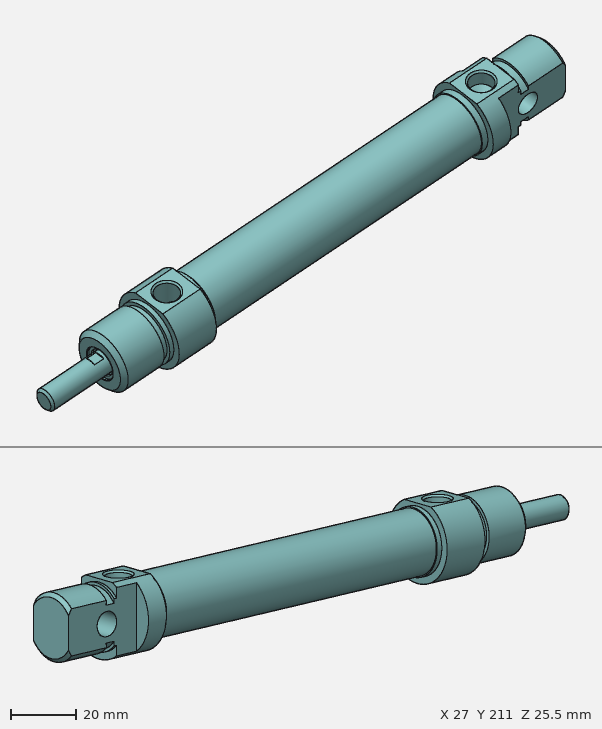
import cadquery as cq

total_length = 211.0

collar_diameter = 27.0
port_flat_height = 12.0
shoulder_diameter = 22.2
port_diameter = 8.5
port_mouth_diameter = 9.7
nose_diameter = 22.0
drill_tip_depth = 2.5

rod_diameter = 8.0
rod_radius = rod_diameter / 2
rod_tip_chamfer = 0.8
rod_across_flats = 7.2
rod_flat_start = 19.6

nose_front = 23.5
nose_back = 40.0
neck_back = 42.5
front_collar_start = 44.0
front_collar_end = 59.7
barrel_start = 61.6
nose_chamfer = 1.7
front_neck_diameter = 19.6
wiper_seat_diameter = 11.5
wiper_seat_mouth_diameter = 12.0
wiper_seat_depth = 0.8
rod_clearance_diameter = 9.5
rod_clearance_depth = 1.7
front_port_station = 51.5

barrel_end = 173.2
rear_collar_start = 175.5
rear_collar_end = 191.2
lip_end = 192.2
rear_neck_end = 195.4
rear_neck_diameter = 20.0
rear_chamfer = 1.3
eye_width = 16.0
eye_shoulder = 183.0
pivot_hole_diameter = 8.0
pivot_hole_station = 195.2
rear_port_station = 183.1
rear_port_depth = 5.5

barrel_diameter = 21.3


def cylinder_y(diameter, start, end):
    """Cylinder on the main axis between two stations."""
    return cq.Workplane("XZ", origin=(0, start, 0)).circle(diameter / 2).extrude(start - end)


def cone_y(start_diameter, end_diameter, start, end):
    """Truncated cone on the main axis between two stations."""
    profile = [(0, start), (start_diameter / 2, start), (end_diameter / 2, end), (0, end)]
    return cq.Workplane("XY").polyline(profile).close().revolve(360, (0, 0, 0), (0, 1, 0))


def box_between(x_range, y_range, z_range):
    """Box given by its lower and upper limits on each axis."""
    limits = (x_range, y_range, z_range)
    sizes = [high - low for low, high in limits]
    corner = tuple(low for low, high in limits)
    return cq.Workplane("XY").box(*sizes, centered=False).translate(corner)


def collar(start, end):
    """Round collar with a flat on top for the port."""
    radius = collar_diameter / 2
    top = box_between((-radius, radius), (start, end), (port_flat_height, radius))
    return cylinder_y(collar_diameter, start, end).cut(top)


def port_cutter(station, floor_height):
    """Vertical port hole with a chamfered mouth on the collar flat."""
    bore = (
        cq.Workplane("XY", origin=(0, station, floor_height))
        .circle(port_diameter / 2)
        .extrude(port_flat_height - floor_height)
    )
    mouth_depth = (port_mouth_diameter - port_diameter) / 2
    mouth = cq.Workplane(
        cq.Solid.makeCone(
            port_diameter / 2,
            port_mouth_diameter / 2,
            mouth_depth,
            pnt=cq.Vector(0, station, port_flat_height - mouth_depth),
        )
    )
    return bore.union(mouth)


def make_rod():
    """Piston rod with a chamfered tip and two wrench flats beside the nose."""
    rod = cylinder_y(rod_diameter, 0, barrel_start).faces("<Y").chamfer(rod_tip_chamfer)
    for low, high in (
        (rod_across_flats / 2, rod_radius),
        (-rod_radius, -rod_across_flats / 2),
    ):
        flat = box_between((-rod_radius, rod_radius), (rod_flat_start, nose_front), (low, high))
        rod = rod.cut(flat)
    return rod


def make_front_cap():
    """Front cap: nose, neck, ported collar and shoulder, bored for the rod."""
    nose = cylinder_y(nose_diameter, nose_front, nose_back).faces("<Y").chamfer(nose_chamfer)
    cap = (
        nose.union(cylinder_y(front_neck_diameter, nose_back, neck_back))
        .union(cylinder_y(shoulder_diameter, neck_back, barrel_start))
        .union(collar(front_collar_start, front_collar_end))
    )
    mouth_depth = (wiper_seat_mouth_diameter - wiper_seat_diameter) / 2
    mouth = cone_y(
        wiper_seat_mouth_diameter, wiper_seat_diameter, nose_front, nose_front + mouth_depth
    )
    return (
        cap.cut(cylinder_y(rod_diameter, nose_front, barrel_start))
        .cut(cylinder_y(wiper_seat_diameter, nose_front, nose_front + wiper_seat_depth))
        .cut(cylinder_y(rod_clearance_diameter, nose_front, nose_front + rod_clearance_depth))
        .cut(mouth)
        .cut(port_cutter(front_port_station, 0))
    )


def make_barrel():
    """Plain round barrel between the two caps."""
    return cylinder_y(barrel_diameter, barrel_start, barrel_end)


def make_rear_cap():
    """Rear cap: shoulder, ported collar, neck and a flat-sided pivot eye."""
    eye = cylinder_y(nose_diameter, rear_neck_end, total_length).faces(">Y").chamfer(rear_chamfer)
    cap = (
        eye.union(cylinder_y(rear_neck_diameter, lip_end, rear_neck_end))
        .union(cylinder_y(nose_diameter, rear_collar_end, lip_end))
        .union(collar(rear_collar_start, rear_collar_end))
        .union(cylinder_y(shoulder_diameter, barrel_end, rear_collar_start))
    )
    radius = collar_diameter / 2
    for x_range in ((-radius, -eye_width / 2), (eye_width / 2, radius)):
        cap = cap.cut(box_between(x_range, (eye_shoulder, total_length), (-radius, radius)))

    pivot_hole = (
        cq.Workplane("YZ", origin=(-radius, 0, 0))
        .center(pivot_hole_station, 0)
        .circle(pivot_hole_diameter / 2)
        .extrude(collar_diameter)
    )
    port_floor = port_flat_height - rear_port_depth
    drill_tip = cq.Workplane(
        cq.Solid.makeCone(
            port_diameter / 2,
            0,
            drill_tip_depth,
            pnt=cq.Vector(0, rear_port_station, port_floor),
            dir=cq.Vector(0, 0, -1),
        )
    )
    port = port_cutter(rear_port_station, port_floor).union(drill_tip)
    return cap.cut(pivot_hole).cut(port)


rod = make_rod()
front_cap = make_front_cap()
barrel = make_barrel()
rear_cap = make_rear_cap()

result = cq.Compound.makeCompound([rod.val(), front_cap.val(), barrel.val(), rear_cap.val()])